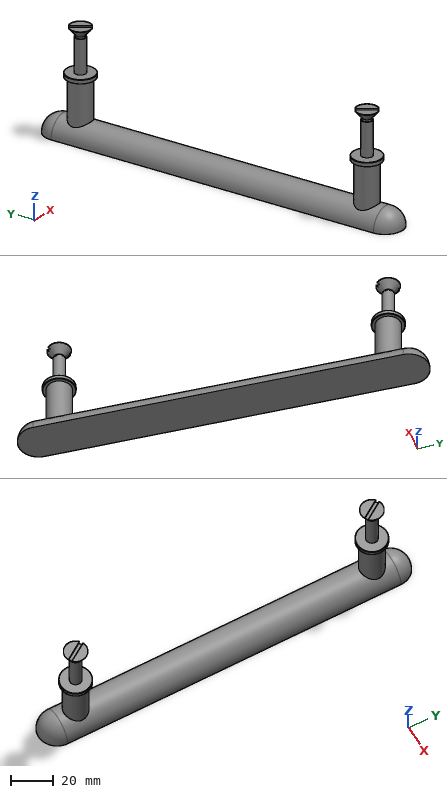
import cadquery as cq

bar_length = 200.0
bar_radius = 10.0
post_inset = 20.0
post_diameter = 12.5
post_top = 31.5

washer_diameter = 16.0
washer_thickness = 2.5
washer_chamfer = 0.3

screw_top = 58.0
screw_depth_in_post = 10.0
shank_diameter = 6.0
neck_diameter = 4.8
neck_height = 1.0
head_diameter = 11.5
head_height = 4.5
head_rim_height = 0.5
slot_width = 1.8
slot_depth = 1.0
slot_angle = -57.0

post_offset = bar_length / 2 - post_inset
post_places = [-post_offset, post_offset]
screw_tip = post_top - screw_depth_in_post
head_bottom = screw_top - head_height
shank_top = head_bottom - neck_height


def cylinder(diameter, bottom, top):
    """Upright cylinder about the Z axis."""
    return cq.Workplane("XY").workplane(offset=bottom).circle(diameter / 2).extrude(top - bottom)


def make_bar():
    """Half-round bar with quarter-sphere ends and a flat underside."""
    straight_half = bar_length / 2 - bar_radius
    rod = cq.Workplane("XZ").circle(bar_radius).extrude(straight_half, both=True)
    for end in (-straight_half, straight_half):
        rod = rod.union(cq.Workplane("XY").sphere(bar_radius).translate((0, end, 0)))
    upper_half = cq.Workplane("XY").box(
        2 * bar_radius, bar_length, bar_radius, centered=(True, True, False)
    )
    return rod.intersect(upper_half)


def make_handle():
    """Bar and posts in one piece, with a blind screw hole in each post."""
    handle = make_bar()
    for y in post_places:
        handle = handle.union(cylinder(post_diameter, 0, post_top).translate((0, y, 0)))
    for y in post_places:
        handle = handle.cut(cylinder(shank_diameter, screw_tip, post_top).translate((0, y, 0)))
    return handle


def make_washer(y):
    """Washer with both outer edges chamfered, fitting closely around the screw."""
    washer_top = post_top + washer_thickness
    disc = cylinder(washer_diameter, post_top, washer_top).edges().chamfer(washer_chamfer)
    return disc.cut(cylinder(shank_diameter, post_top, washer_top)).translate((0, y, 0))


def make_screw(y):
    """Countersunk screw with a reduced neck below its slotted head."""
    screw = (
        cq.Workplane("XZ")
        .moveTo(0, screw_tip)
        .lineTo(shank_diameter / 2, screw_tip)
        .lineTo(shank_diameter / 2, shank_top)
        .lineTo(neck_diameter / 2, shank_top)
        .lineTo(neck_diameter / 2, head_bottom)
        .lineTo(head_diameter / 2, screw_top - head_rim_height)
        .lineTo(head_diameter / 2, screw_top)
        .lineTo(0, screw_top)
        .close()
        .revolve(360, (0, 0, 0), (0, 1, 0))
    )
    slot = (
        cq.Workplane("XY")
        .workplane(offset=screw_top - slot_depth)
        .transformed(rotate=(0, 0, slot_angle))
        .rect(head_diameter, slot_width)
        .extrude(slot_depth)
    )
    return screw.cut(slot).translate((0, y, 0))


handle = make_handle()
washers = [make_washer(y) for y in post_places]
screws = [make_screw(y) for y in post_places]

result = cq.Compound.makeCompound([handle.val(), *[body.val() for body in washers + screws]])